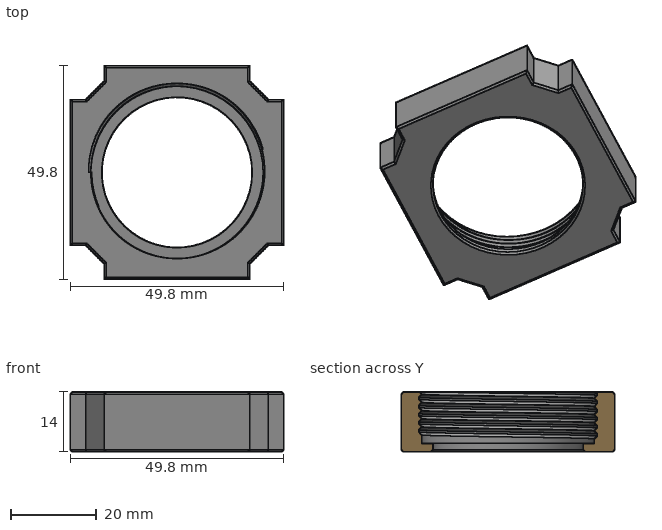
import cadquery as cq
import math

body_width = 49.8
body_height = 14.0
arm_width = 34.0
notch_flat = 3.6
edge_chamfer = 0.5

seat_diameter = 40.2
lip_diameter = 35.0
lip_height = 2.0

groove_diameter = 41.57
pitch = 1.9
turns = 6
root_width = pitch / 4
thread_start_z = 3.0
bore_overlap = 0.2


def make_plate():
    """Square plate with a stepped diagonal notch at each corner."""
    side = body_width / 2
    arm = arm_width / 2
    knee = side - notch_flat
    corner = [(side, arm), (knee, arm), (arm, knee), (arm, side)]
    outline = []
    for quarter in range(4):
        angle = quarter * math.pi / 2
        for x, y in corner:
            turned_x = x * math.cos(angle) - y * math.sin(angle)
            turned_y = x * math.sin(angle) + y * math.cos(angle)
            outline.append((turned_x, turned_y))
    return cq.Workplane("XY").polyline(outline).close().extrude(body_height)


def make_lip_hole():
    """Through hole that leaves the retaining lip at the bottom."""
    return cq.Workplane("XY").circle(lip_diameter / 2).extrude(body_height)


def make_seat():
    """Wide bore from the top face down to the lip."""
    seat_floor = cq.Workplane("XY").workplane(offset=lip_height)
    return seat_floor.circle(seat_diameter / 2).extrude(body_height - lip_height)


def make_thread_groove():
    """Helical cutter that starts on the -X side and runs out through the top face."""
    crest_radius = seat_diameter / 2
    root_radius = groove_diameter / 2
    inner_radius = crest_radius - bore_overlap
    root_half = root_width / 2
    inner_half = root_half + (root_radius - inner_radius)
    profile = [
        (inner_radius, -inner_half),
        (root_radius, -root_half),
        (root_radius, root_half),
        (inner_radius, inner_half),
    ]
    path = cq.Workplane(cq.Wire.makeHelix(pitch, pitch * turns, crest_radius))
    groove = cq.Workplane("XZ").polyline(profile).close().sweep(path, isFrenet=True)
    start_on_minus_x = groove.rotate((0, 0, 0), (0, 0, 1), 180)
    return start_on_minus_x.translate((0, 0, thread_start_z))


plate = make_plate().faces(">Z").chamfer(edge_chamfer)
lip_ring = plate.cut(make_lip_hole()).faces("<Z").chamfer(edge_chamfer)
result = lip_ring.cut(make_seat()).cut(make_thread_groove())